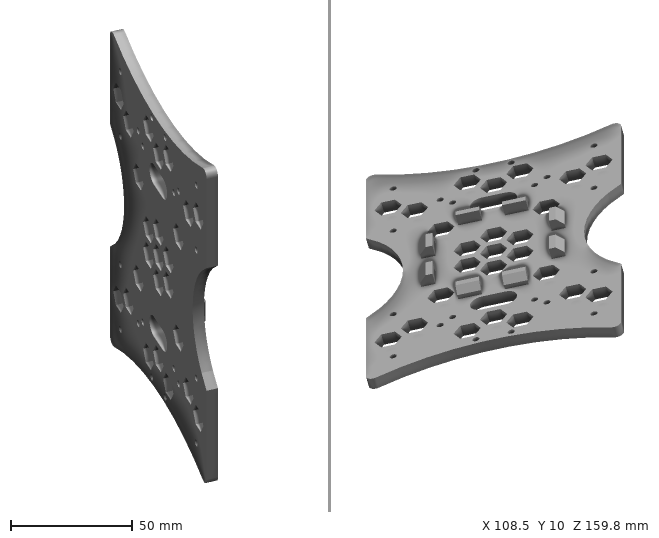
import cadquery as cq
import math

width = 108.5
height = 159.8
total_depth = 10.0
plate_thickness = total_depth / 2
half_width = width / 2
half_height = height / 2

corner_radius = 3.0
dish_half_height = 69.2
waist_half_width = 38.5
waist_arc_end_x = 48.6
waist_arc_end_z = 26.0
waist_corner_z = 31.3

hex_across_flats = 10.0
hex_pitch = 13.0
hex_column_step = hex_pitch * math.cos(math.radians(30))
hex_cells = [
    (0, 0),
    (0, 1),
    (1, 0.5),
    (2, 2),
    (3, 3.5),
    (4, 4),
    (0, 4),
    (1, 4.5),
]

screw_hole_diameter = 3.0
screw_hole_places = [
    (7.5, 66.3),
    (42.7, 65.8),
    (42.7, 32.8),
    (22.7, 49.2),
    (17.4, 44.9),
]

slot_length = 20.0
slot_width = 10.0
slot_center_z = 38.8

block_length = 10.0
block_width = 5.9
block_height = total_depth - plate_thickness
block_chamfer = 3.0
seat_half_width = 24.8
seat_half_height = 26.0
block_offset_x = 9.9
block_offset_z = 11.0

cut_depth = 2 * plate_thickness


def front_plane():
    """Sketch plane on the front face: local x = X, local y = Z, extruding toward -Y."""
    return cq.Workplane("XZ")


def mirrored(places):
    """Repeat quadrant places in all four quadrants, without duplicates on the axes."""
    return sorted({(sx * x, sz * z) for x, z in places for sx in (1, -1) for sz in (1, -1)})


def make_plate():
    corner_x = half_width - corner_radius
    corner_z = half_height - corner_radius
    drop = corner_z - dish_half_height
    dish_radius = (corner_x**2 + drop**2 - corner_radius**2) / (2 * (corner_radius + drop))
    dish_center_z = dish_half_height + dish_radius
    tangent_angle = math.atan2(dish_center_z - corner_z, -corner_x)
    tangent_x = corner_x + corner_radius * math.cos(tangent_angle)
    tangent_z = corner_z + corner_radius * math.sin(tangent_angle)

    outline = (
        front_plane()
        .moveTo(-tangent_x, tangent_z)
        .threePointArc((0, dish_half_height), (tangent_x, tangent_z))
        .threePointArc((corner_x, half_height), (half_width, corner_z))
        .lineTo(half_width, waist_corner_z)
        .lineTo(waist_arc_end_x, waist_arc_end_z)
        .threePointArc((waist_half_width, 0), (waist_arc_end_x, -waist_arc_end_z))
        .lineTo(half_width, -waist_corner_z)
        .lineTo(half_width, -corner_z)
        .threePointArc((corner_x, -half_height), (tangent_x, -tangent_z))
        .threePointArc((0, -dish_half_height), (-tangent_x, -tangent_z))
        .threePointArc((-corner_x, -half_height), (-half_width, -corner_z))
        .lineTo(-half_width, -waist_corner_z)
        .lineTo(-waist_arc_end_x, -waist_arc_end_z)
        .threePointArc((-waist_half_width, 0), (-waist_arc_end_x, waist_arc_end_z))
        .lineTo(-half_width, waist_corner_z)
        .lineTo(-half_width, corner_z)
        .threePointArc((-corner_x, half_height), (-tangent_x, tangent_z))
        .close()
    )
    return outline.extrude(-plate_thickness)


def make_hex_holes():
    across_corners = hex_across_flats / math.cos(math.radians(30))
    places = mirrored([(column * hex_column_step, row * hex_pitch) for column, row in hex_cells])
    return front_plane().pushPoints(places).polygon(6, across_corners).extrude(-cut_depth)


def make_screw_holes():
    places = mirrored(screw_hole_places)
    return front_plane().pushPoints(places).circle(screw_hole_diameter / 2).extrude(-cut_depth)


def make_slots():
    places = mirrored([(0, slot_center_z)])
    return front_plane().pushPoints(places).slot2D(slot_length, slot_width).extrude(-cut_depth)


def make_block(seat_distance):
    """Block on the +X side, its flat face toward the centre and its outer back edge chamfered."""
    outer = seat_distance + block_width
    back = plate_thickness + block_height
    return (
        cq.Workplane("XY", origin=(0, 0, -block_length / 2))
        .moveTo(seat_distance, plate_thickness)
        .lineTo(outer, plate_thickness)
        .lineTo(outer, back - block_chamfer)
        .lineTo(outer - block_chamfer, back)
        .lineTo(seat_distance, back)
        .close()
        .extrude(block_length)
    )


def add_blocks(body):
    y_axis_end = (0, 1, 0)
    sides = [
        (0, seat_half_width, block_offset_z),
        (90, seat_half_height, block_offset_x),
        (180, seat_half_width, block_offset_z),
        (270, seat_half_height, block_offset_x),
    ]
    for turn, seat_distance, offset in sides:
        for along in (-offset, offset):
            block = make_block(seat_distance).translate((0, 0, along))
            body = body.union(block.rotate((0, 0, 0), y_axis_end, turn))
    return body


plate = make_plate().cut(make_hex_holes()).cut(make_screw_holes()).cut(make_slots())
result = add_blocks(plate)